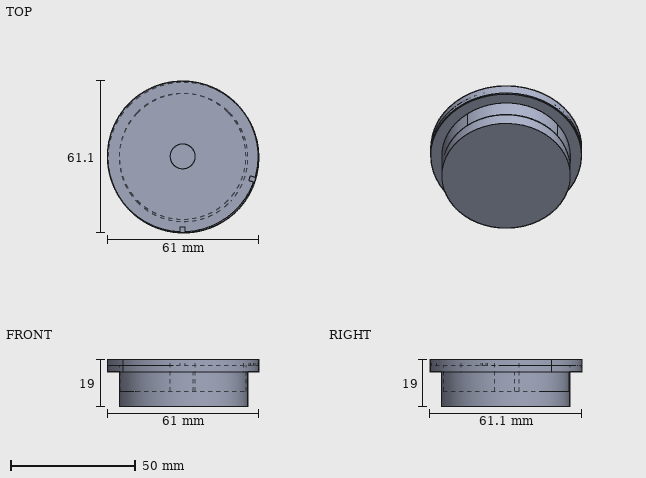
import cadquery as cq

flange_height = 5.0
lid_plate_height = flange_height / 2
lid_depth = 13.0
base_depth = 19.0

flange_diameter = 60.6
base_barrel_diameter = 51.6
lid_plug_diameter = 50.75
post_diameter = 10.0

base_center = (0, 0)
lid_center = (-0.35, 0.5)

notch_width = 2.0
notch_depth = 2.0
notch_angles = (-90, -18)


def disc(center, diameter, top, bottom):
    """Vertical cylinder between two heights."""
    return (
        cq.Workplane("XY", origin=(*center, bottom))
        .circle(diameter / 2)
        .extrude(top - bottom)
    )


def rim_notch(angle):
    """Block that cuts one notch, open outwards, through the full flange height."""
    inner_radius = flange_diameter / 2 - notch_depth
    block_length = 2 * notch_depth
    return (
        cq.Workplane("XY")
        .box(block_length, notch_width, flange_height, centered=(False, True, False))
        .translate((inner_radius, 0, -flange_height))
        .rotate((0, 0, 0), (0, 0, 1), angle)
        .translate((*lid_center, 0))
    )


def flange_seat():
    """Lower half of the base flange: a ring that the lid plate rests on."""
    ring = disc(base_center, flange_diameter, -lid_plate_height, -flange_height)
    plug_opening = disc(lid_center, lid_plug_diameter, -lid_plate_height, -flange_height)
    return ring.cut(plug_opening)


def make_lid():
    """Flanged plug with a central hole and rim notches; a thin crescent lip hangs beside the seat."""
    flange = disc(lid_center, flange_diameter, 0, -flange_height)
    plug = disc(lid_center, lid_plug_diameter, 0, -lid_depth)
    post_hole = disc(lid_center, post_diameter, 0, -lid_depth)
    lid = flange.union(plug).cut(flange_seat()).cut(post_hole)
    for angle in notch_angles:
        lid = lid.cut(rim_notch(angle))
    return lid


def make_base(lid):
    """Flanged barrel recessed to match the lid, leaving a central post and notch keys."""
    flange = disc(base_center, flange_diameter, 0, -flange_height)
    barrel = disc(base_center, base_barrel_diameter, 0, -base_depth)
    return flange.union(barrel).cut(lid)


lid = make_lid()
base = make_base(lid)

result = cq.Compound.makeCompound([lid.solids().val(), base.solids().val()])